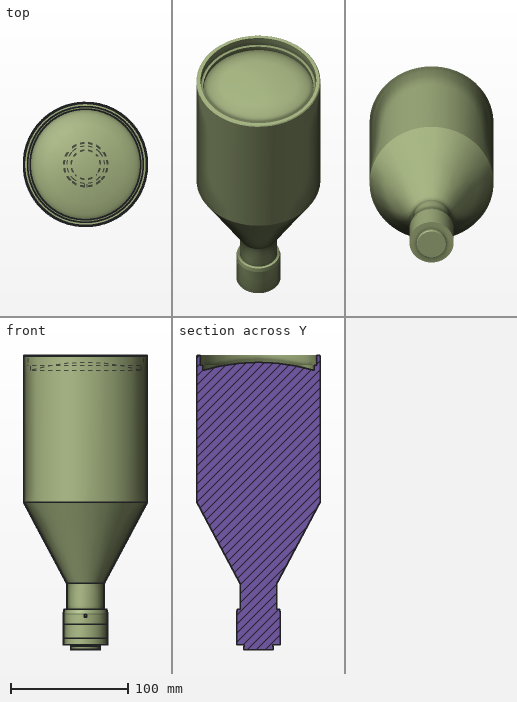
import cadquery as cq
import math

total_height = 251.9
thread_bottom_chamfer = 0.5
relief_bottom = 3.0
relief_top = 4.3
lower_ring_top = 9.8
middle_ring_top = 21.9
upper_ring_top = 31.0
collar_top = 34.7
neck_top = 56.8
cone_top = 126.3

thread_diameter = 25.4
relief_diameter = 24.6
collar_diameter = 38.0
middle_ring_diameter = 37.99
shoulder_top_diameter = 36.4
neck_diameter = 32.0
barrel_diameter = 106.0
hood_bore_diameter = 99.0
lens_diameter = 94.6

rim_chamfer = 0.8

hood_depth = 8.5
lens_edge_depth = 12.8
lens_sag = 6.8

screw_hole_diameter = 2.4
screw_hole_depth = 2.5
screw_hole_height = 29.0


def make_body():
    """Revolve the stepped housing and its recessed opening."""
    thread_radius = thread_diameter / 2
    relief_radius = relief_diameter / 2
    collar_radius = collar_diameter / 2
    middle_ring_radius = middle_ring_diameter / 2
    shoulder_top_radius = shoulder_top_diameter / 2
    neck_radius = neck_diameter / 2
    barrel_radius = barrel_diameter / 2
    hood_radius = hood_bore_diameter / 2
    lens_radius = lens_diameter / 2

    ledge_height = total_height - hood_depth
    lens_edge_height = total_height - lens_edge_depth
    lens_apex_height = lens_edge_height + lens_sag
    sphere_radius = (lens_radius**2 + lens_sag**2) / (2 * lens_sag)
    arc_mid_radius = lens_radius / 2
    arc_mid_height = lens_apex_height - sphere_radius + math.sqrt(sphere_radius**2 - arc_mid_radius**2)

    profile = (
        cq.Workplane("XZ")
        .moveTo(0, 0)
        .lineTo(thread_radius - thread_bottom_chamfer, 0)
        .lineTo(thread_radius, thread_bottom_chamfer)
        .lineTo(thread_radius, relief_bottom)
        .lineTo(relief_radius, relief_bottom)
        .lineTo(relief_radius, relief_top)
        .lineTo(collar_radius, relief_top)
        .lineTo(collar_radius, lower_ring_top)
        .lineTo(middle_ring_radius, lower_ring_top)
        .lineTo(middle_ring_radius, middle_ring_top)
        .lineTo(collar_radius, middle_ring_top)
        .lineTo(collar_radius, upper_ring_top)
        .lineTo(shoulder_top_radius, collar_top)
        .lineTo(neck_radius, collar_top)
        .lineTo(neck_radius, neck_top)
        .lineTo(barrel_radius, cone_top)
        .lineTo(barrel_radius, total_height - rim_chamfer)
        .lineTo(barrel_radius - rim_chamfer, total_height)
        .lineTo(hood_radius, total_height)
        .lineTo(hood_radius, ledge_height)
        .lineTo(lens_radius, ledge_height)
        .lineTo(lens_radius, lens_edge_height)
        .threePointArc((arc_mid_radius, arc_mid_height), (0, lens_apex_height))
        .close()
    )
    return profile.revolve(360, (0, 0, 0), (0, 1, 0))


def make_screw_hole():
    """Cylinder that cuts the blind radial set screw hole."""
    hole_plane = cq.Workplane("XZ", origin=(0, -collar_diameter / 2, screw_hole_height))
    return hole_plane.circle(screw_hole_diameter / 2).extrude(-screw_hole_depth)


result = make_body().cut(make_screw_hole())